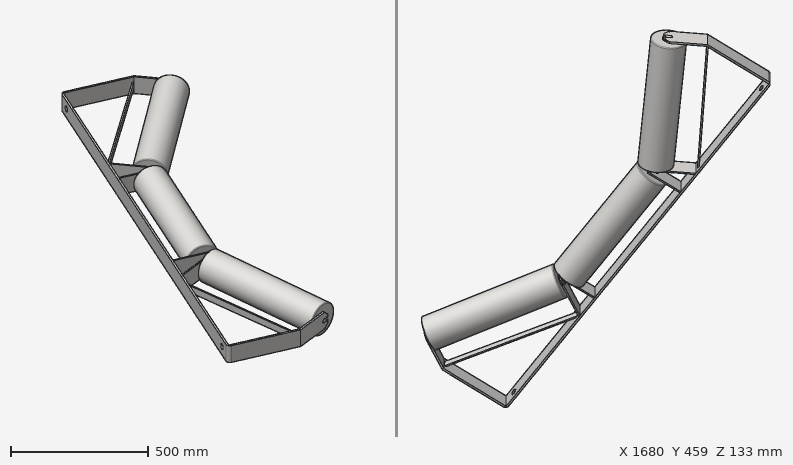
import cadquery as cq
import math


frame_length = 1680.0
strap_width = 75.0
frame_thickness = 8.0
arm_length = 160.0
arm_chamfer = 20.0
bend_radius = 15.0
hole_diameter = 22.0
hole_offset = 785.0

roller_diameter = 133.0
roller_length = 530.0
rim_fillet = 3.0
hub_diameter = 45.0
seat_span = 551.0
tongue_width = 15.0
tongue_height = 25.0
middle_axis_y = 128.0
wing_tilt = 30.0
wing_center_x = 531.0
wing_center_y = 270.0

plate_thickness = 6.0
bracket_height = 151.0
brace_width = 30.0
brace_foot_x = 381.0
brace_head_drop = 3.0

half_length = frame_length / 2
seat = seat_span / 2
cos_tilt = math.cos(math.radians(wing_tilt))
sin_tilt = math.sin(math.radians(wing_tilt))
slot_top = 2 * arm_length
frame_inner_x = half_length - frame_thickness


def wing_point(along, across):
    x = wing_center_x + along * cos_tilt - across * sin_tilt
    y = wing_center_y + along * sin_tilt + across * cos_tilt
    return (x, y)


def across_at_x(along, x):
    return (wing_center_x + along * cos_tilt - x) / sin_tilt


def across_at_y(along, y):
    return (y - wing_center_y - along * sin_tilt) / cos_tilt


def place_on_wing(body):
    """Move a body from the X axis to the right-hand wing roller's axis."""
    return body.rotate((0, 0, 0), (0, 0, 1), wing_tilt).translate((wing_center_x, wing_center_y, 0))


def place_in_middle(body):
    """Move a body from the X axis to the middle roller's axis."""
    return body.translate((0, middle_axis_y, 0))


def mirrored(body):
    return body.mirror("YZ")


def strap(points, width):
    """Bar with the given XY outline, centred on Z = 0."""
    return cq.Workplane("XY").workplane(offset=-width / 2).polyline(points).close().extrude(width)


def rod(diameter, length):
    """Round rod along the X axis, centred on the origin."""
    return cq.Workplane("YZ").workplane(offset=-length / 2).circle(diameter / 2).extrude(length)


def round_bottomed_bar(top, length):
    """Bar along the X axis with the section of a shaft end, flat at the given height."""
    radius = tongue_width / 2
    bottom = -tongue_height / 2
    return (
        cq.Workplane("YZ")
        .workplane(offset=-length / 2)
        .moveTo(top, -radius)
        .lineTo(bottom + radius, -radius)
        .threePointArc((bottom, 0), (bottom + radius, radius))
        .lineTo(top, radius)
        .close()
        .extrude(length)
    )


def seat_slot(side):
    """Cutter for the open slot that seats the shaft end on one side (+1 or -1) of a roller."""
    slot_length = roller_length / 2
    return round_bottomed_bar(slot_top, slot_length).translate((side * seat, 0, 0))


def make_roller():
    drum = rod(roller_diameter, roller_length).edges().fillet(rim_fillet)
    hubs = rod(hub_diameter, seat_span - 2 * frame_thickness)
    shaft_ends = round_bottomed_bar(tongue_height / 2, seat_span)
    return drum.union(hubs).union(shaft_ends)


arm_inner = seat - frame_thickness
knee_across = across_at_x(seat, half_length)
tip_across = knee_across + arm_length
outer_knee = wing_point(seat, knee_across)
inner_knee = wing_point(arm_inner, across_at_x(arm_inner, frame_inner_x))


def make_arm_tip_cutter():
    """Corner chamfers of the right-hand arm's tip."""
    edge = strap_width / 2
    corner = (
        cq.Workplane("YZ")
        .polyline([(tip_across, edge), (tip_across, edge - arm_chamfer), (tip_across - arm_chamfer, edge)])
        .close()
        .extrude(seat)
    )
    return corner.union(corner.mirror("XY"))


def make_frame():
    right_half = [
        (half_length, 0),
        outer_knee,
        wing_point(seat, tip_across),
        wing_point(arm_inner, tip_across),
        inner_knee,
        (frame_inner_x, frame_thickness),
    ]
    left_half = [(-x, y) for x, y in reversed(right_half)]
    body = strap(right_half + left_half, strap_width)
    body = body.edges("|Z").edges("<Y").fillet(bend_radius)

    holes = (
        cq.Workplane("XZ")
        .pushPoints([(-hole_offset, 0), (hole_offset, 0)])
        .circle(hole_diameter / 2)
        .extrude(-frame_thickness)
    )
    arm_cutter = place_on_wing(seat_slot(1).union(make_arm_tip_cutter()))
    return body.cut(holes).cut(arm_cutter).cut(mirrored(arm_cutter))


def make_bracket():
    upright_inner = seat - plate_thickness
    slope_outer = -seat
    slope_inner = slope_outer + plate_thickness
    top_underside = bracket_height - plate_thickness

    def slope_point(along, y):
        return wing_point(along, across_at_y(along, y))

    outline = [
        (upright_inner, frame_thickness),
        (upright_inner, bracket_height),
        slope_point(slope_inner, bracket_height),
        slope_point(slope_inner, frame_thickness),
        slope_point(slope_outer, frame_thickness),
        slope_point(slope_outer, top_underside),
        (seat, top_underside),
        (seat, frame_thickness),
    ]
    body = strap(outline, strap_width)
    return body.cut(place_in_middle(seat_slot(1))).cut(place_on_wing(seat_slot(-1)))


def make_brace():
    head_x = frame_inner_x
    head_y = outer_knee[1] - brace_head_drop
    slope = math.atan2(head_y - frame_thickness, head_x - brace_foot_x)
    outline = [
        (brace_foot_x, frame_thickness),
        (head_x, head_y),
        (head_x, head_y - plate_thickness / math.cos(slope)),
        (brace_foot_x + plate_thickness / math.sin(slope), frame_thickness),
    ]
    return strap(outline, brace_width)


frame = make_frame()
middle_roller = place_in_middle(make_roller())
solids = [frame.val(), middle_roller.val()]
for right_body in (make_bracket(), make_brace(), place_on_wing(make_roller())):
    solids.append(right_body.val())
    solids.append(mirrored(right_body).val())

result = cq.Compound.makeCompound(solids)